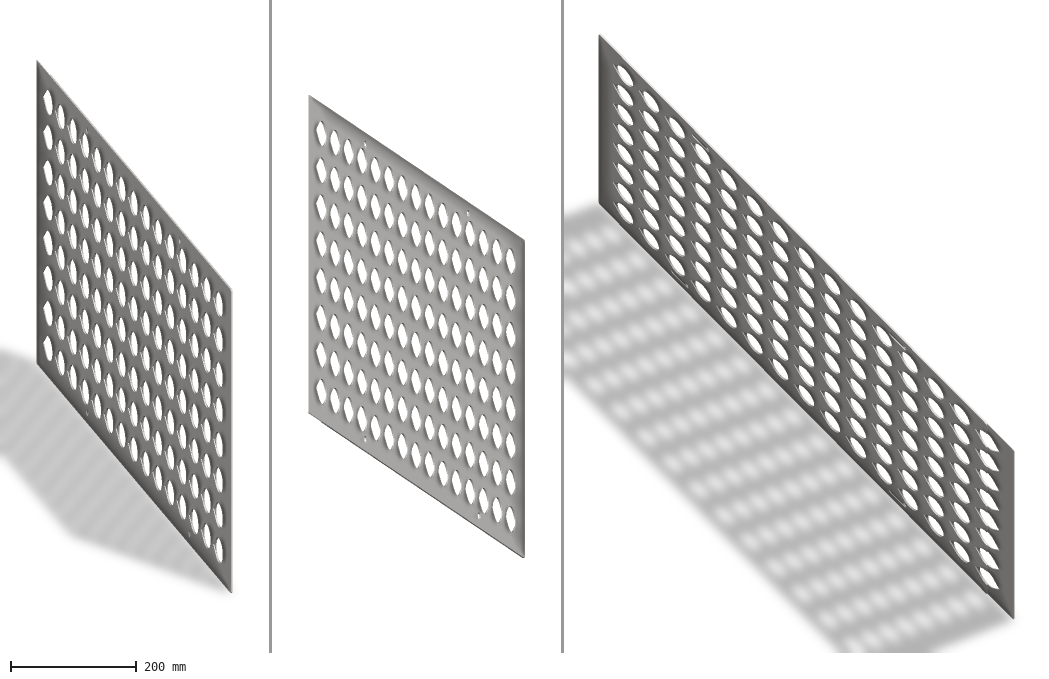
import cadquery as cq
import math

length = 1016.0
height = 521.0
sheet_thickness = 1.5
corner_radius = 3.0

columns = 15
rows = 8
grid_width = 889.0
grid_height = 423.0
column_web = 22.0

guide_hole_diameter = 11.0
slot_width = 9.5
slot_length = 43.0
guide_x = 242.0
lower_right_guide_x = 293.0
guide_z = 242.0

left_end = -length / 2
right_end = length / 2
column_pitch = grid_width / (columns - 1)
row_pitch = grid_height / (rows - 1)
opening_radius = (column_pitch - column_web) / 2
shoulder_offset = opening_radius / math.sqrt(2)
tip_distance = opening_radius * math.sqrt(2)

opening_centers = [
    (-grid_width / 2 + column * column_pitch, -grid_height / 2 + row * row_pitch)
    for column in range(columns)
    for row in range(rows)
]
guide_points = [
    (-guide_x, guide_z),
    (guide_x, guide_z),
    (-guide_x, -guide_z),
    (lower_right_guide_x, -guide_z),
]


def plane_at(front_y):
    """XZ workplane at the given Y, with its normal towards -Y."""
    return cq.Workplane(cq.Plane(origin=(0, front_y, 0), xDir=(1, 0, 0), normal=(0, -1, 0)))


def blank(left_edge, front_y):
    """Plain sheet with rounded corners, from the given left edge to the right end."""
    width = right_end - left_edge
    return (
        plane_at(front_y)
        .center(left_edge + width / 2, 0)
        .rect(width, height)
        .extrude(-sheet_thickness)
        .edges("|Y")
        .fillet(corner_radius)
    )


def drop_openings(front_y, tip_side):
    """Round openings with a pointed tip; tip_side is -1 for left and +1 for right."""
    outlines = plane_at(front_y)
    for x, z in opening_centers:
        tip_x = x + tip_side * tip_distance
        shoulder_x = x + tip_side * shoulder_offset
        round_end_x = x - tip_side * opening_radius
        outlines = (
            outlines.moveTo(tip_x, z)
            .lineTo(shoulder_x, z + shoulder_offset)
            .threePointArc((round_end_x, z), (shoulder_x, z - shoulder_offset))
            .close()
        )
    return outlines.extrude(-sheet_thickness)


def guide_holes(front_y):
    """Round holes at the guide points."""
    circles = plane_at(front_y).pushPoints(guide_points).circle(guide_hole_diameter / 2)
    return circles.extrude(-sheet_thickness)


def guide_slots(front_y):
    """Slots along X whose left end arcs are centred on the guide points."""
    shift = (slot_length - slot_width) / 2
    centers = [(x + shift, z) for x, z in guide_points]
    slots = plane_at(front_y).pushPoints(centers).slot2D(slot_length, slot_width)
    return slots.extrude(-sheet_thickness)


def make_front_sheet():
    """Full-length sheet with openings pointing left."""
    front_y = -sheet_thickness
    return blank(left_end, front_y).cut(drop_openings(front_y, -1)).cut(guide_holes(front_y))


def make_back_sheet():
    """Sheet with openings pointing right; its left edge lies on the first column's centreline."""
    front_y = 0.0
    left_edge = -grid_width / 2
    return blank(left_edge, front_y).cut(drop_openings(front_y, 1)).cut(guide_slots(front_y))


front_sheet = make_front_sheet()
back_sheet = make_back_sheet()

result = cq.Compound.makeCompound([front_sheet.val(), back_sheet.val()])